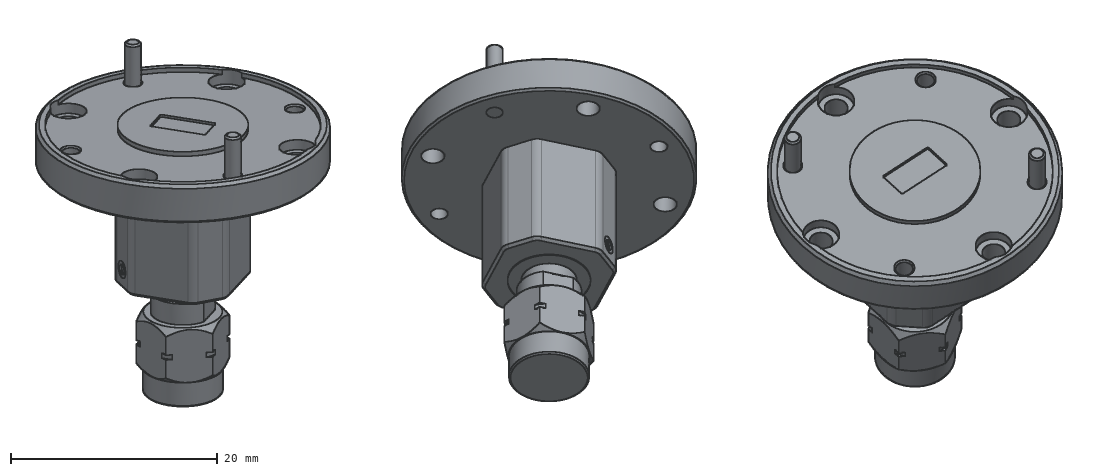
import cadquery as cq
import math


NUT_BOTTOM = 2.65
NUT_TOP = 8.45
BARREL_TOP = 10.65
PAD_BOTTOM = 11.95
HOUSING_BOTTOM = 12.05
FLANGE_BOTTOM = 24.3
FLANGE_TOP = 28.35
PIN_TOP = 32.2

FLANGE_DIAMETER = 28.55
FLANGE_TOP_CHAMFER = 0.32
FLANGE_BOTTOM_CHAMFER = 0.23
RECESS_RADIUS = 13.35
RECESS_DEPTH = 0.48
RECESS_FLOOR = FLANGE_TOP - RECESS_DEPTH
BOSS_RADIUS = 6.35

WINDOW_LENGTH = 5.73
WINDOW_WIDTH = 2.93
WINDOW_DEPTH = 0.25
WINDOW_CORNER_RADIUS = 0.15

PITCH_RADIUS = 11.88
SCREW_HOLE_ANGLES = (0, 90, 180, 270)
SCREW_HOLE_DIAMETER = 2.25
COUNTERBORE_DIAMETER = 3.55
COUNTERBORE_DEPTH = 1.05
ALIGNMENT_HOLE_ANGLES = (45, 225)
ALIGNMENT_HOLE_DIAMETER = 1.67
ALIGNMENT_HOLE_CHAMFER = 0.15
PIN_ANGLES = (135, 315)
PIN_DIAMETER = 1.6
PIN_CHAMFER = 0.2
PIN_HOLE_CHAMFER = 0.13

HOUSING_HALF_WIDTH = 5.85
HOUSING_FACE_HALF_LENGTH = 3.3
HOUSING_EDGE_RADIUS = 1.3
HOUSING_CHAMFER = 0.3
PAD_RADIUS = 4.02

SET_SCREW_Z = 14.1
SET_SCREW_DIAMETER = 1.75
SET_SCREW_LENGTH = 1.93
SOCKET_DIAMETER = 1.03
SOCKET_DEPTH = 0.2

NECK_RADIUS = 2.7
BARREL_RADIUS = 3.15
BARREL_ACROSS_FLATS = 5.5
NUT_ACROSS_FLATS = 7.95
NUT_CORNER_RADIUS = NUT_ACROSS_FLATS / math.sqrt(3)
NUT_TOP_FACE_RADIUS = 3.83
NUT_BOTTOM_FACE_RADIUS = 3.95
NUT_GROOVE_RADIUS = 4.3
NUT_GROOVE_OUTER_RADIUS = NUT_CORNER_RADIUS + 0.32
NUT_GROOVE_HEIGHT = 0.5
NUT_GROOVE_MIDDLE = 5.47
SLEEVE_RADIUS = 3.9
SLEEVE_CHAMFER = 0.15


def level(z):
    return cq.Workplane("XY").workplane(offset=z)


def disc(radius, bottom, top):
    return level(bottom).circle(radius).extrude(top - bottom)


def at_pitch_circle(shape, angle):
    """Move a shape made on the Z axis to the pitch circle."""
    radians = math.radians(angle)
    return shape.translate((PITCH_RADIUS * math.cos(radians), PITCH_RADIUS * math.sin(radians), 0))


def counterbored_hole_cutter():
    hole = disc(SCREW_HOLE_DIAMETER / 2, FLANGE_BOTTOM, FLANGE_TOP)
    counterbore = disc(COUNTERBORE_DIAMETER / 2, RECESS_FLOOR - COUNTERBORE_DEPTH, FLANGE_TOP)
    return hole.union(counterbore)


def chamfered_hole_cutter(diameter, chamfer):
    """A hole through the flange, chamfered where it meets the recess floor."""
    radius = diameter / 2
    hole = disc(radius, FLANGE_BOTTOM, RECESS_FLOOR)
    mouth = level(RECESS_FLOOR).circle(radius + chamfer).workplane(offset=-chamfer).circle(radius).loft()
    return hole.union(mouth)


def make_flange():
    flange = disc(FLANGE_DIAMETER / 2, FLANGE_BOTTOM, FLANGE_TOP)
    flange = flange.faces(">Z").edges().chamfer(FLANGE_TOP_CHAMFER)
    flange = flange.faces("<Z").edges().chamfer(FLANGE_BOTTOM_CHAMFER)
    flange = flange.cut(disc(RECESS_RADIUS, RECESS_FLOOR, FLANGE_TOP))
    flange = flange.union(disc(BOSS_RADIUS, RECESS_FLOOR, FLANGE_TOP))

    window = level(FLANGE_TOP).rect(WINDOW_LENGTH, WINDOW_WIDTH).extrude(-WINDOW_DEPTH)
    flange = flange.cut(window.edges("|Z").fillet(WINDOW_CORNER_RADIUS))

    hole_patterns = (
        (counterbored_hole_cutter(), SCREW_HOLE_ANGLES),
        (chamfered_hole_cutter(ALIGNMENT_HOLE_DIAMETER, ALIGNMENT_HOLE_CHAMFER), ALIGNMENT_HOLE_ANGLES),
        (chamfered_hole_cutter(PIN_DIAMETER, PIN_HOLE_CHAMFER), PIN_ANGLES),
    )
    for cutter, angles in hole_patterns:
        for angle in angles:
            flange = flange.cut(at_pitch_circle(cutter, angle))
    return flange


def make_housing():
    width = 2 * HOUSING_HALF_WIDTH
    corner_cut = HOUSING_HALF_WIDTH - HOUSING_FACE_HALF_LENGTH
    housing = level(HOUSING_BOTTOM).rect(width, width).extrude(FLANGE_BOTTOM - HOUSING_BOTTOM)
    housing = housing.edges("|Z").chamfer(corner_cut)
    housing = housing.edges("|Z").fillet(HOUSING_EDGE_RADIUS)
    housing = housing.faces("<Z").edges().chamfer(HOUSING_CHAMFER)
    return housing.union(disc(PAD_RADIUS, PAD_BOTTOM, HOUSING_BOTTOM))


def make_barrel():
    """Round barrel with two flats facing -X and +X."""
    flats = level(NUT_TOP).rect(BARREL_ACROSS_FLATS, 2 * BARREL_RADIUS).extrude(BARREL_TOP - NUT_TOP)
    return disc(BARREL_RADIUS, NUT_TOP, BARREL_TOP).intersect(flats)


def make_nut():
    """Hexagon with 45-degree turned ends and a ring groove that cuts only its corners."""
    nut = level(NUT_BOTTOM).polygon(6, 2 * NUT_CORNER_RADIUS).extrude(NUT_TOP - NUT_BOTTOM)
    nut = nut.rotate((0, 0, 0), (0, 0, 1), 30)

    turned_profile = [
        (0, NUT_BOTTOM),
        (NUT_BOTTOM_FACE_RADIUS, NUT_BOTTOM),
        (NUT_CORNER_RADIUS, NUT_BOTTOM + NUT_CORNER_RADIUS - NUT_BOTTOM_FACE_RADIUS),
        (NUT_CORNER_RADIUS, NUT_TOP - NUT_CORNER_RADIUS + NUT_TOP_FACE_RADIUS),
        (NUT_TOP_FACE_RADIUS, NUT_TOP),
        (0, NUT_TOP),
    ]
    turned = cq.Workplane("XZ").polyline(turned_profile).close().revolve(360, (0, 0, 0), (0, 1, 0))

    groove = (
        level(NUT_GROOVE_MIDDLE - NUT_GROOVE_HEIGHT / 2)
        .circle(NUT_GROOVE_OUTER_RADIUS)
        .circle(NUT_GROOVE_RADIUS)
        .extrude(NUT_GROOVE_HEIGHT)
    )
    return nut.intersect(turned).cut(groove)


def make_connector():
    neck = disc(NECK_RADIUS, BARREL_TOP, PAD_BOTTOM)
    sleeve = disc(SLEEVE_RADIUS, 0, NUT_BOTTOM).faces("<Z").edges().chamfer(SLEEVE_CHAMFER)
    return neck.union(make_barrel()).union(make_nut()).union(sleeve)


def set_screw_plane():
    """Plane on the housing corner face, with its normal pointing outwards."""
    corner_face_middle = (HOUSING_HALF_WIDTH + HOUSING_FACE_HALF_LENGTH) / 2
    origin = (-corner_face_middle, -corner_face_middle, SET_SCREW_Z)
    return cq.Workplane(cq.Plane(origin=origin, xDir=(1, -1, 0), normal=(-1, -1, 0)))


def make_set_screw_blank():
    return set_screw_plane().circle(SET_SCREW_DIAMETER / 2).extrude(-SET_SCREW_LENGTH)


def make_set_screw():
    socket = set_screw_plane().circle(SOCKET_DIAMETER / 2).extrude(-SOCKET_DEPTH)
    return make_set_screw_blank().cut(socket)


def make_adapter():
    adapter = make_flange().union(make_housing()).union(make_connector())
    return adapter.cut(make_set_screw_blank())


def make_pin(angle):
    """Pin that fills its hole in the flange and stands above it."""
    pin = disc(PIN_DIAMETER / 2, FLANGE_BOTTOM, PIN_TOP).faces(">Z").edges().chamfer(PIN_CHAMFER)
    return at_pitch_circle(pin, angle)


adapter = make_adapter().solids()
pins = [make_pin(angle).solids() for angle in PIN_ANGLES]
set_screw = make_set_screw().solids()

result = cq.Compound.makeCompound([adapter.val(), *[pin.val() for pin in pins], set_screw.val()])